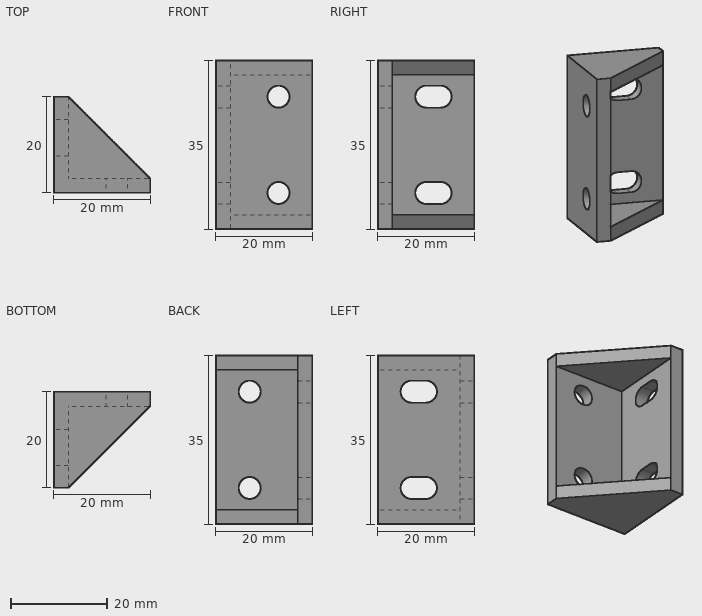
import cadquery as cq

height = 35.0
leg = 20.0
wall = 3.0

opening_width = 4.5
opening_spacing = 20.0
hole_x = 13.0
slot_length = 7.5
slot_y = 11.5
opening_heights = [(height - opening_spacing) / 2, (height + opening_spacing) / 2]


def corner_block():
    """Right-angle wedge whose legs end in flats as wide as the wall."""
    outline = [(0, 0), (leg, 0), (leg, wall), (wall, leg), (0, leg)]
    return cq.Workplane("XY").polyline(outline).close().extrude(height)


def inner_pocket():
    """Space between the legs and end plates, open on the sloping side."""
    pocket_size = leg - wall
    return (
        cq.Workplane("XY")
        .box(pocket_size, pocket_size, height - 2 * wall, centered=False)
        .translate((wall, wall, wall))
    )


def round_holes():
    """Round holes running along Y through the front leg."""
    centers = [(hole_x, z) for z in opening_heights]
    return cq.Workplane("XZ").pushPoints(centers).circle(opening_width / 2).extrude(-wall)


def slots():
    """Slots running along X through the side leg, lengthwise in Y."""
    centers = [(slot_y, z) for z in opening_heights]
    return cq.Workplane("YZ").pushPoints(centers).slot2D(slot_length, opening_width).extrude(wall)


result = corner_block().cut(inner_pocket()).cut(round_holes()).cut(slots())